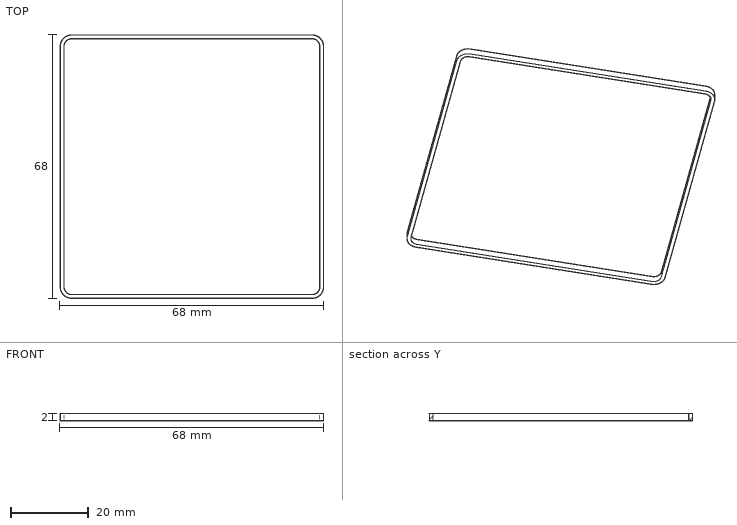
import cadquery as cq

side = 68.0
height = 2.0
wall = 1.0
outer_radius = 3.0
inner_radius = outer_radius - wall


def rounded_square(width, corner_radius):
    """Square plate standing on Z = 0 with rounded vertical corners."""
    plate = cq.Workplane("XY").rect(width, width).extrude(height)
    return plate.edges("|Z").fillet(corner_radius)


outer_body = rounded_square(side, outer_radius)
opening = rounded_square(side - 2 * wall, inner_radius)
result = outer_body.cut(opening)